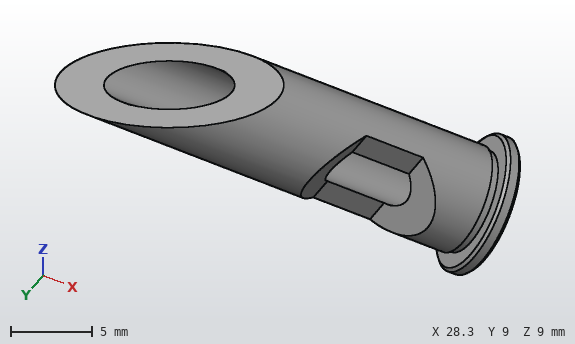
import cadquery as cq
import math

length = 28.3
tube_diameter = 7.0
bore_diameter = 4.0
flange_diameter = 9.0
flange_thickness = 1.0
flange_chamfer = 0.2
neck_diameter = 6.62
neck_width = 0.5
tip_angle = 30.0

notch_center = 20.07
notch_floor_width = 4.0
notch_depth = 2.2

tube_radius = tube_diameter / 2
flange_start = length - flange_thickness
neck_start = flange_start - neck_width


def cylinder(start, end, diameter):
    """Solid cylinder along the X axis."""
    return cq.Workplane("YZ", origin=(start, 0, 0)).circle(diameter / 2).extrude(end - start)


def tip_cutter():
    """Wedge that removes the slanted tip, leaving the point on the +Y side."""
    tip_length = tube_diameter / math.tan(math.radians(tip_angle))
    return (
        cq.Workplane("XY")
        .moveTo(0, tube_radius)
        .lineTo(tip_length, -tube_radius)
        .lineTo(2 * tip_length, -3 * tube_radius)
        .lineTo(-tip_length, -3 * tube_radius)
        .lineTo(-tip_length, 3 * tube_radius)
        .close()
        .extrude(tube_diameter, both=True)
    )


def notch_cutter():
    """Trapezoidal notch across the underside, opening into the bore."""
    half_floor = notch_floor_width / 2
    half_mouth = half_floor + notch_depth
    floor_z = notch_depth - tube_radius
    return (
        cq.Workplane("XZ")
        .moveTo(notch_center - half_mouth, -tube_radius)
        .lineTo(notch_center - half_floor, floor_z)
        .lineTo(notch_center + half_floor, floor_z)
        .lineTo(notch_center + half_mouth, -tube_radius)
        .close()
        .extrude(tube_diameter, both=True)
    )


tube = cylinder(0, neck_start, tube_diameter).cut(tip_cutter()).cut(notch_cutter())
neck = cylinder(neck_start, flange_start, neck_diameter)
flange = cylinder(flange_start, length, flange_diameter).edges().chamfer(flange_chamfer)
bore = cylinder(0, length, bore_diameter)

result = tube.union(neck).union(flange).cut(bore)